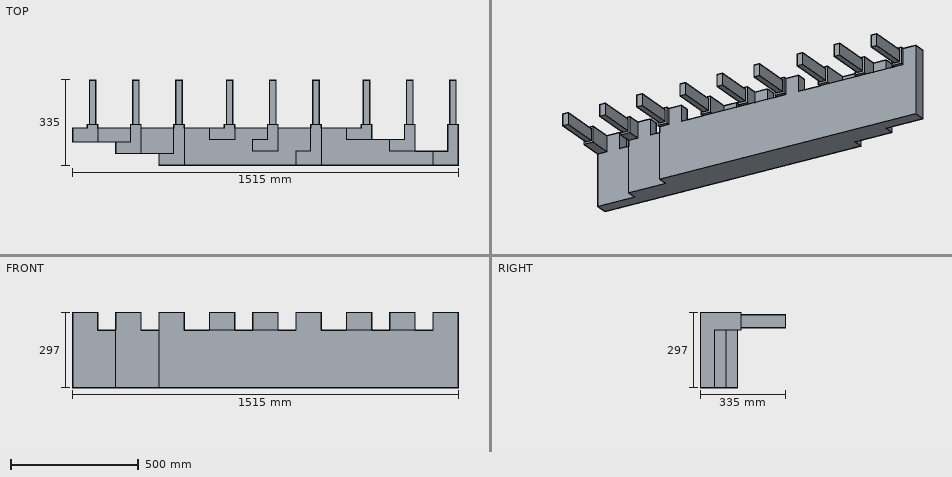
import cadquery as cq

total_length = 1515.0
total_depth = 335.0
total_height = 297.0

plate_count = 3
plate_shift = 170.0
plate_spacing = 45.0
plate_thickness = 56.0
plate_length = total_length - (plate_count - 1) * plate_shift
body_depth = (plate_count - 1) * plate_spacing + plate_thickness

teeth_per_plate = 3
tooth_length = 100.0
tooth_height = 70.0
tooth_pitch = (plate_length - tooth_length) / (teeth_per_plate - 1)
plate_height = total_height - tooth_height

neck_width = 42.0
pin_length = 174.0
pin_width = 25.0
pin_height = 52.0
back_y = body_depth
pin_tip_y = total_depth
neck_end_y = pin_tip_y - pin_length


def block(x_range, y_range, z_range):
    """Axis-aligned box between the given limits."""
    size = [high - low for low, high in (x_range, y_range, z_range)]
    corner = (x_range[0], y_range[0], z_range[0])
    return cq.Workplane("XY").box(*size, centered=False).translate(corner)


def plate_faces(index):
    """Front and back Y of a plate; plate 0 is the rearmost."""
    plate_back = back_y - index * plate_spacing
    return plate_back - plate_thickness, plate_back


def tooth_faces(index, station):
    """Front and back Y of a tooth, giving the overlap of two plates to only one of them."""
    front, back = plate_faces(index)
    if station == 0:
        if index > 0:
            back = plate_faces(index - 1)[0]
    elif index < plate_count - 1:
        front = plate_faces(index + 1)[1]
    return front, back


def make_plate(index):
    left = index * plate_shift
    return block((left, left + plate_length), plate_faces(index), (0, plate_height))


def make_finger(index, station):
    """Tooth, neck and pin at one station of one plate."""
    left = index * plate_shift + station * tooth_pitch
    right = left + tooth_length
    front, back = tooth_faces(index, station)
    neck_left = right - neck_width
    pin_left = neck_left + (neck_width - pin_width) / 2
    pin_bottom = plate_height + (tooth_height - pin_height) / 2
    tooth_z = (plate_height, total_height)

    tooth = block((left, right), (front, back), tooth_z)
    neck = block((neck_left, right), (front, neck_end_y), tooth_z)
    pin = block(
        (pin_left, pin_left + pin_width),
        (neck_end_y, pin_tip_y),
        (pin_bottom, pin_bottom + pin_height),
    )
    return tooth.union(neck).union(pin)


result = make_plate(0)
for plate_index in range(1, plate_count):
    result = result.union(make_plate(plate_index))
for plate_index in range(plate_count):
    for tooth_station in range(teeth_per_plate):
        result = result.union(make_finger(plate_index, tooth_station))
result = result.clean()